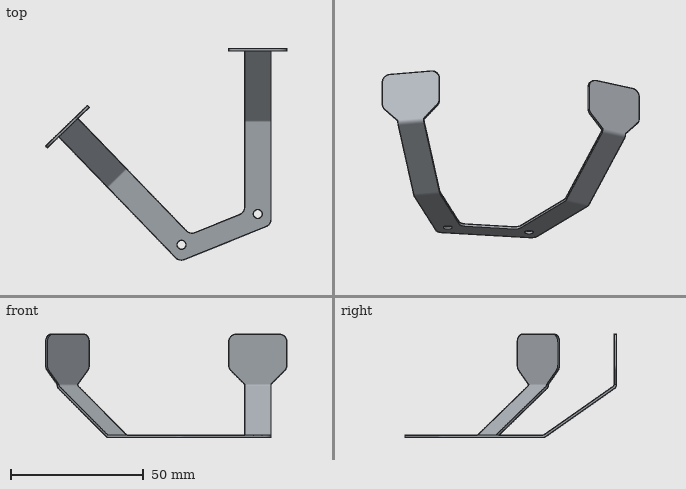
import cadquery as cq
import math


thickness = 1.0
bend_radius = 1.0
outer_bend_radius = bend_radius + thickness

bar_angle = math.radians(22)
hole_spacing = 31.0
hole_diameter = 3.3
bar_outer_offset = 5.6
bar_width = 8.0
bar_inner_offset = bar_width - bar_outer_offset
corner_radius = 3.0

arm_width = 10.0
half_arm = arm_width / 2
first_bend_y = 35.15
pad_back_y = 62.38
plate_end_y = first_bend_y / 2
slope_angle = math.radians(35)
upper_bend_angle = math.pi / 2 - slope_angle

pad_width = 22.0
half_pad = pad_width / 2
pad_corner_radius = 3.0
total_height = 39.05
second_bend_z = (pad_back_y - first_bend_y) * math.tan(slope_angle)
pad_bottom_z = second_bend_z + outer_bend_radius * math.tan(upper_bend_angle / 2)
shoulder_z = pad_bottom_z + half_pad - half_arm

bar_direction = cq.Vector(math.cos(bar_angle), math.sin(bar_angle), 0)
mirror_point = bar_direction * (-hole_spacing / 2)


def bar_edge_y(x, offset):
    """Y at x on the line parallel to the hole line, moved sideways by offset."""
    return x * math.tan(bar_angle) + offset / math.cos(bar_angle)


def bar_middle(offset):
    """Point on the mirror plane, moved sideways from the hole line by offset."""
    return (
        mirror_point.x - offset * math.sin(bar_angle),
        mirror_point.y + offset * math.cos(bar_angle),
    )


def make_half_plate():
    """Flat half: half of the bar and the level part of the right arm."""
    outer_corner = (half_arm, bar_edge_y(half_arm, -bar_outer_offset))
    inner_corner = (-half_arm, bar_edge_y(-half_arm, bar_inner_offset))
    outline = [
        (-half_arm, plate_end_y),
        (half_arm, plate_end_y),
        outer_corner,
        bar_middle(-bar_outer_offset),
        bar_middle(bar_inner_offset),
        inner_corner,
    ]
    plate = cq.Workplane("XY").polyline(outline).close().extrude(thickness)
    for corner in (outer_corner, inner_corner):
        nearest = cq.selectors.NearestToPointSelector((*corner, thickness / 2))
        plate = plate.edges("|Z").edges(nearest).fillet(corner_radius)
    hole = cq.Workplane("XY").circle(hole_diameter / 2).extrude(thickness)
    return plate.cut(hole)


def make_bent_strip(width):
    """Side profile of the arm and pad, bent twice, spread over the given width."""
    lower_underside = (first_bend_y, 0)
    lower_top = (first_bend_y - thickness * math.tan(slope_angle / 2), thickness)
    upper_back = (pad_back_y, second_bend_z)
    upper_front = (
        pad_back_y - thickness,
        second_bend_z + thickness * math.tan(upper_bend_angle / 2),
    )
    profile = [
        (plate_end_y, 0),
        lower_underside,
        upper_back,
        (pad_back_y, total_height),
        (pad_back_y - thickness, total_height),
        upper_front,
        lower_top,
        (plate_end_y, thickness),
    ]
    strip = cq.Workplane("YZ").polyline(profile).close().extrude(width / 2, both=True)
    bends = [
        (lower_underside, outer_bend_radius),
        (lower_top, bend_radius),
        (upper_back, outer_bend_radius),
        (upper_front, bend_radius),
    ]
    for corner, radius in bends:
        nearest = cq.selectors.NearestToPointSelector((0, *corner))
        strip = strip.edges("|X").edges(nearest).fillet(radius)
    return strip


def make_arm():
    """Bent strip trimmed to the arm width below and to the pad outline above."""
    outline = [
        (-half_arm, 0),
        (half_arm, 0),
        (half_arm, pad_bottom_z),
        (half_pad, shoulder_z),
        (half_pad, total_height),
        (-half_pad, total_height),
        (-half_pad, shoulder_z),
        (-half_arm, pad_bottom_z),
    ]
    silhouette = cq.Workplane("XZ").polyline(outline).close().extrude(-pad_back_y)
    for x in (-half_pad, half_pad):
        for z in (shoulder_z, total_height):
            nearest = cq.selectors.NearestToPointSelector((x, pad_back_y / 2, z))
            silhouette = silhouette.edges("|Y").edges(nearest).fillet(pad_corner_radius)
    return make_bent_strip(pad_width).intersect(silhouette)


right_half = make_half_plate().union(make_arm())
left_half = right_half.mirror(bar_direction, mirror_point)
result = right_half.union(left_half).clean()